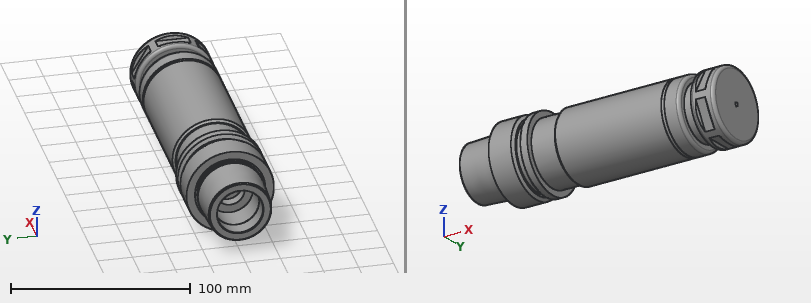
import cadquery as cq

total_length = 175.0

taper_front_diameter = 36.0
taper_rear_diameter = 38.3
taper_end = 22.5
taper_rim_diameter = 34.6
taper_rim_width = 0.7
undercut_diameter = 37.5
undercut_floor_start = 23.1
undercut_floor_end = 23.6
collar_diameter = 37.8
collar_start = 24.2

flange_diameter = 50.0
flange_start = 24.8
flange_end = 51.0
recess_diameter = 40.2
recess_depth = 0.5
groove_start = 41.3
groove_end = 44.8
groove_diameter = 43.0
groove_rim_diameter = 45.7
groove_chamfer = 1.4

neck_diameter = 42.0
body_diameter = 46.0
body_start = 67.0
body_end = 151.9
body_chamfer = 1.4
body_fillet = 2.1
band_start = 139.8
band_end = 142.0
band_depth = 0.09

nut_neck_diameter = 36.0
nut_start = 158.7
nut_diameter = body_diameter
nut_fillet = 2.1
flat_count = 6
flat_distance = 21.0
flat_start = 163.1
flat_end = 169.4
flat_wall_spread = 0.9

mouth_diameter = 26.8
mouth_chamfer_width = 0.7
bore_steps = [
    (26.2, 10.0),
    (26.0, flange_start),
    (16.5, 31.5),
    (6.5, 38.5),
    (2.5, total_length),
]


def revolve_profile(stations):
    """Solid of revolution about X from (position, diameter) stations."""
    outline = [(x, diameter / 2) for x, diameter in stations]
    outline = [(stations[0][0], 0), *outline, (stations[-1][0], 0)]
    return cq.Workplane("XY").polyline(outline).close().revolve(360, (0, 0, 0), (1, 0, 0))


def cylinder_along_x(diameter, start, end):
    return cq.Workplane("YZ").workplane(offset=start).circle(diameter / 2).extrude(end - start)


def make_shank_and_flange():
    recess_floor = flange_start + recess_depth
    return revolve_profile([
        (0, taper_rim_diameter),
        (taper_rim_width, taper_front_diameter),
        (taper_end, taper_rear_diameter),
        (undercut_floor_start, undercut_diameter),
        (undercut_floor_end, undercut_diameter),
        (collar_start, collar_diameter),
        (recess_floor, collar_diameter),
        (recess_floor, recess_diameter),
        (flange_start, recess_diameter),
        (flange_start, flange_diameter),
        (groove_start - groove_chamfer, flange_diameter),
        (groove_start, groove_rim_diameter),
        (groove_start, groove_diameter),
        (groove_end, groove_diameter),
        (groove_end, groove_rim_diameter),
        (groove_end + groove_chamfer, flange_diameter),
        (flange_end, flange_diameter),
    ])


def make_body():
    body = cylinder_along_x(body_diameter, body_start, body_end)
    body = body.faces("<X").edges().chamfer(body_chamfer)
    body = body.faces(">X").edges().fillet(body_fillet)
    band_core = cylinder_along_x(body_diameter - 2 * band_depth, band_start, band_end)
    band = cylinder_along_x(body_diameter, band_start, band_end).cut(band_core)
    return body.cut(band)


def make_nut():
    nut = cylinder_along_x(nut_diameter, nut_start, total_length)
    nut = nut.faces("<X or >X").edges().fillet(nut_fillet)
    nut_radius = nut_diameter / 2
    flat_cutter = (
        cq.Workplane("XZ")
        .polyline([
            (flat_start, flat_distance),
            (flat_end, flat_distance),
            (flat_end + flat_wall_spread, nut_radius),
            (flat_start - flat_wall_spread, nut_radius),
        ])
        .close()
        .extrude(nut_radius, both=True)
    )
    for index in range(flat_count):
        angle = index * 360 / flat_count
        nut = nut.cut(flat_cutter.rotate((0, 0, 0), (1, 0, 0), angle))
    return nut


def make_bore():
    stations = [(0, mouth_diameter)]
    step_start = mouth_chamfer_width
    for diameter, step_end in bore_steps:
        stations += [(step_start, diameter), (step_end, diameter)]
        step_start = step_end
    return revolve_profile(stations)


neck = cylinder_along_x(neck_diameter, flange_end, body_start)
nut_neck = cylinder_along_x(nut_neck_diameter, body_end, nut_start)

result = (
    make_shank_and_flange()
    .union(neck)
    .union(make_body())
    .union(nut_neck)
    .union(make_nut())
    .cut(make_bore())
)